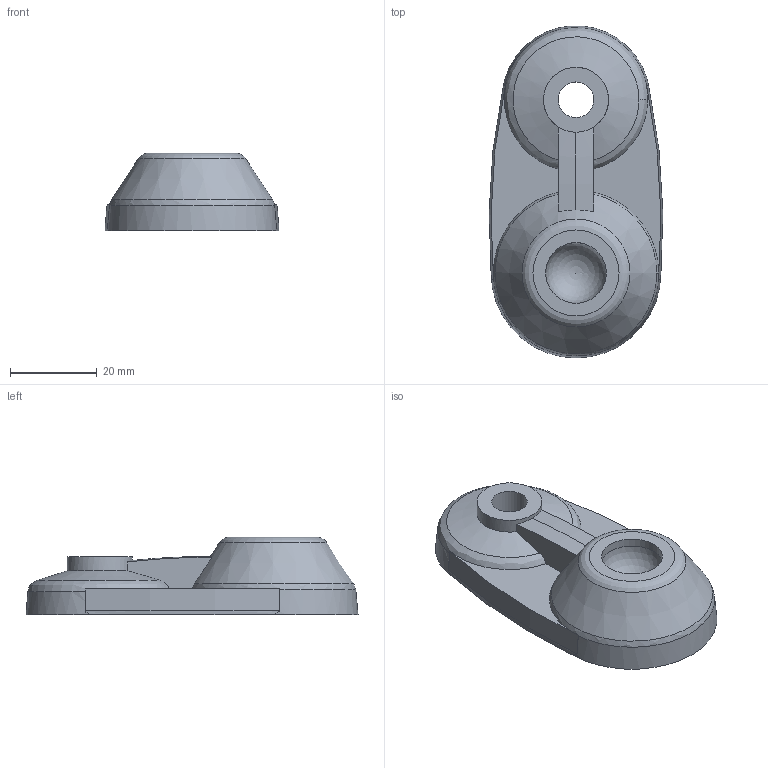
import cadquery as cq
import math

center_distance = 40.0
wall_draft = math.radians(5.0)

hub_base_radius = 17.1
hub_shoulder_height = 7.4
hub_edge_radius = 3.0
boss_diameter = 15.0
boss_bottom = 10.2
boss_top = 13.5
bore_diameter = 8.2

dome_base_radius = 19.6
dome_shoulder_height = 6.6
dome_top_radius = 11.55
dome_height = 18.0
dome_edge_radius = 3.0
cup_diameter = 14.0
cup_wall_depth = 2.0

plate_height = 6.0
plate_straight_height = 1.0
plate_half_width = 20.065
plate_side_radius = 150.0
plate_widest_y = -28.2
plate_hub_end = 3.2
plate_dome_overrun = 1.5
plate_dome_end = -center_distance - plate_dome_overrun

rib_width = bore_diameter
rib_arch_radius = 170.0
rib_peak_y = -25.0
rib_ridge_height = 13.5
rib_edge_drop = 0.2
rib_hub_end = -bore_diameter / 2
rib_dome_end = -30.0


def drafted_radius(base_radius, height):
    """Radius of a drafted wall at a height above its foot."""
    return base_radius - height * math.tan(wall_draft)


def rounded_cone(base_radius, shoulder_height, top_radius, top_height):
    """Drafted round foot that turns into a cone at the shoulder."""
    return (
        cq.Workplane("XZ")
        .lineTo(base_radius, 0)
        .lineTo(drafted_radius(base_radius, shoulder_height), shoulder_height)
        .lineTo(top_radius, top_height)
        .lineTo(0, top_height)
        .close()
        .revolve(360, (0, 0, 0), (0, 1, 0))
    )


def round_edge(body, height, radius):
    """Fillet the circular edge that lies at the given height."""
    reach = 0.1
    edge_at_height = cq.selectors.BoxSelector(
        (-reach, -reach, height - reach), (reach, reach, height + reach)
    )
    return body.edges(edge_at_height).fillet(radius)


def make_hub():
    boss_radius = boss_diameter / 2
    hub = rounded_cone(hub_base_radius, hub_shoulder_height, boss_radius, boss_bottom)
    hub = round_edge(hub, hub_shoulder_height, hub_edge_radius)
    boss = cq.Workplane("XY").circle(boss_radius).extrude(boss_top)
    return hub.union(boss)


def make_dome():
    dome = rounded_cone(dome_base_radius, dome_shoulder_height, dome_top_radius, dome_height)
    dome = round_edge(dome, dome_height, dome_edge_radius)
    dome = round_edge(dome, dome_shoulder_height, dome_edge_radius)
    return dome.translate((0, -center_distance, 0))


def make_cup():
    """Cutter with a straight wall and a hemispherical floor."""
    cup_radius = cup_diameter / 2
    wall = cq.Workplane("XY").circle(cup_radius).extrude(cup_wall_depth)
    floor = cq.Workplane("XY").sphere(cup_radius, angle2=0)
    cutter = wall.union(floor)
    return cutter.translate((0, -center_distance, dome_height - cup_wall_depth))


def make_plate():
    """Overlap of two large drafted discs, trimmed to length."""
    top_radius = drafted_radius(plate_side_radius, plate_height - plate_straight_height)
    disc = (
        cq.Workplane("XZ")
        .lineTo(plate_side_radius, 0)
        .lineTo(plate_side_radius, plate_straight_height)
        .lineTo(top_radius, plate_height)
        .lineTo(0, plate_height)
        .close()
        .revolve(360, (0, 0, 0), (0, 1, 0))
    )
    disc_offset = plate_side_radius - plate_half_width
    right_side = disc.translate((-disc_offset, plate_widest_y, 0))
    left_side = disc.translate((disc_offset, plate_widest_y, 0))
    trim_width = 2 * plate_side_radius
    trim_length = plate_hub_end - plate_dome_end
    trim_middle = (plate_hub_end + plate_dome_end) / 2
    trim = cq.Workplane("XY").center(0, trim_middle).rect(trim_width, trim_length).extrude(plate_height)
    return trim.intersect(right_side).intersect(left_side)


def arch_height(y, peak_height):
    """Height of the rib's arched top at a place along its length."""
    return peak_height - rib_arch_radius + math.sqrt(rib_arch_radius**2 - (y - rib_peak_y) ** 2)


def rib_section(x, peak_height):
    """Side outline of the rib in the plane at x."""
    middle_y = (rib_hub_end + rib_dome_end) / 2
    section = (
        cq.Workplane("YZ", origin=(x, 0, 0))
        .moveTo(rib_dome_end, 0)
        .lineTo(rib_hub_end, 0)
        .lineTo(rib_hub_end, arch_height(rib_hub_end, peak_height))
        .threePointArc(
            (middle_y, arch_height(middle_y, peak_height)),
            (rib_dome_end, arch_height(rib_dome_end, peak_height)),
        )
        .close()
    )
    return section.val()


def make_rib():
    ridge_section = rib_section(0, rib_ridge_height)
    side_section = rib_section(rib_width / 2, rib_ridge_height - rib_edge_drop)
    half = cq.Workplane(cq.Solid.makeLoft([ridge_section, side_section], True))
    return half.union(half.mirror("YZ"))


def make_bore():
    """Cutter for the hole through the whole hub."""
    return cq.Workplane("XY").circle(bore_diameter / 2).extrude(boss_top)


body = make_hub().union(make_dome()).union(make_plate()).union(make_rib())
result = body.cut(make_bore()).cut(make_cup())